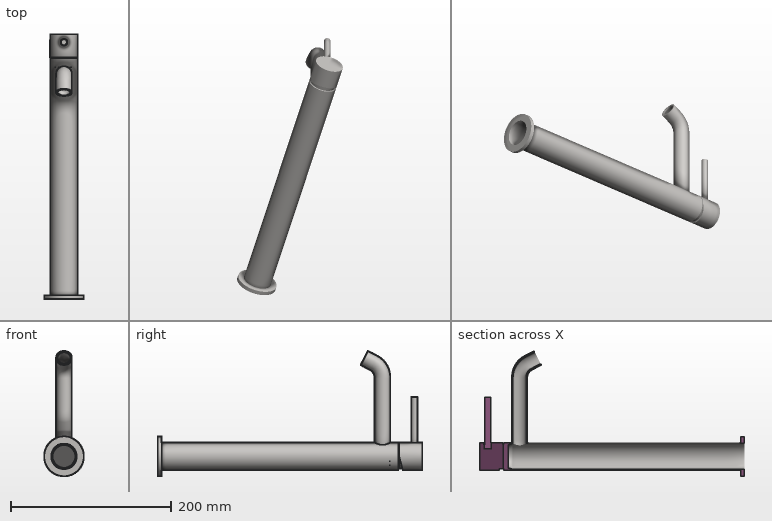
import cadquery as cq
import math


bore_radius = 16.0

flange_radius = 25.0
flange_thickness = 5.0

barrel_radius = 17.5
barrel_end_y = 301.0
bore_end_y = 295.0
bore_end_radius = 14.2
bore_taper_length = 5.0
neck_radius = 15.5
neck_length = 1.0

knob_start_y = barrel_end_y + neck_length
knob_length = 29.0
knob_end_y = knob_start_y + knob_length
knob_relief_depth = 4.5

lever_radius = 4.0
lever_to_knob_end = 10.0
lever_y = knob_end_y - lever_to_knob_end
lever_top_z = 74.5
lever_bottom_z = 10.0
lever_chamfer = 0.3
lever_recess_radius = 4.25
lever_recess_floor_z = 15.0

spout_radius = 10.0
spout_bore_radius = 8.0
spout_y = 281.0
spout_bend_z = 98.8
spout_bend_radius = 20.5
spout_bend_angle = 62.5
spout_top_z = 131.91


def cylinder_along_y(radius, start_y, end_y):
    """Solid cylinder on the barrel axis between two Y positions."""
    plane = cq.Plane(origin=(0, start_y, 0), xDir=(1, 0, 0), normal=(0, 1, 0))
    return cq.Workplane(plane).circle(radius).extrude(end_y - start_y)


def cylinder_along_z(radius, y, bottom_z, top_z):
    """Upright solid cylinder at X = 0 between two heights."""
    return cq.Workplane("XY", origin=(0, y, bottom_z)).circle(radius).extrude(top_z - bottom_z)


def spout_rod(radius):
    """Solid rod from the barrel axis up, round the bend and out to the tip."""
    angle = math.radians(spout_bend_angle)
    outer_corner_z = spout_bend_z + (spout_bend_radius + spout_radius) * math.sin(angle)
    tip_length = (spout_top_z - outer_corner_z) / math.cos(angle)
    centre_y = spout_y - spout_bend_radius

    def bend_point(turn):
        return (
            centre_y + spout_bend_radius * math.cos(turn),
            spout_bend_z + spout_bend_radius * math.sin(turn),
        )

    bend_end = bend_point(angle)
    tip = (
        bend_end[0] - tip_length * math.sin(angle),
        bend_end[1] + tip_length * math.cos(angle),
    )
    path = (
        cq.Workplane("YZ")
        .moveTo(spout_y, 0)
        .lineTo(spout_y, spout_bend_z)
        .threePointArc(bend_point(angle / 2), bend_end)
        .lineTo(*tip)
    )
    return cq.Workplane("XY", origin=(0, spout_y, 0)).circle(radius).sweep(path)


def make_flange():
    """Flat mounting ring that the barrel stands on."""
    ring = cylinder_along_y(flange_radius, 0, flange_thickness)
    return ring.cut(cylinder_along_y(bore_radius, 0, flange_thickness))


def make_barrel():
    """Hollow barrel, closed at the far end, with its hollow spout and the neck that carries the knob."""
    barrel = cylinder_along_y(barrel_radius, flange_thickness, barrel_end_y)
    neck = cylinder_along_y(neck_radius, barrel_end_y, knob_start_y)
    bore = (
        cq.Workplane("XY")
        .moveTo(0, flange_thickness)
        .lineTo(bore_radius, flange_thickness)
        .lineTo(bore_radius, bore_end_y - bore_taper_length)
        .lineTo(bore_end_radius, bore_end_y)
        .lineTo(0, bore_end_y)
        .close()
        .revolve(360, (0, 0, 0), (0, 1, 0))
    )
    barrel = barrel.union(neck).union(spout_rod(spout_radius))
    return barrel.cut(bore).cut(spout_rod(spout_bore_radius))


def make_lever():
    """Upright control rod with a chamfered top."""
    rod = cylinder_along_z(lever_radius, lever_y, lever_bottom_z, lever_top_z)
    return rod.faces(">Z").chamfer(lever_chamfer)


def make_knob(lever):
    """Turning end of the barrel, relieved below the axis and socketed for the lever."""
    knob = cylinder_along_y(barrel_radius, knob_start_y, knob_end_y)
    relief = (
        cq.Workplane("YZ")
        .moveTo(knob_start_y, 0)
        .lineTo(knob_start_y + knob_relief_depth, -barrel_radius)
        .lineTo(knob_start_y, -barrel_radius)
        .close()
        .extrude(barrel_radius, both=True)
    )
    core = cylinder_along_y(neck_radius, knob_start_y, knob_end_y)
    recess = cylinder_along_z(lever_recess_radius, lever_y, lever_recess_floor_z, barrel_radius)
    return knob.cut(relief.cut(core)).cut(recess).cut(lever)


flange = make_flange()
barrel = make_barrel()
lever = make_lever()
knob = make_knob(lever)

result = cq.Compound.makeCompound([flange.val(), barrel.val(), knob.val(), lever.val()])